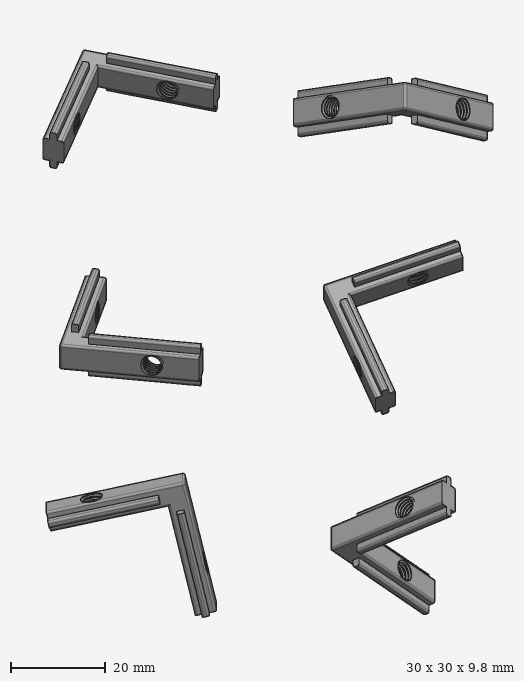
import cadquery as cq

ARM_LENGTH = 30.0
ARM_WIDTH = 4.6
ARM_HEIGHT = 6.0
TOTAL_HEIGHT = 9.8
RIB_WIDTH = 1.6
RIB_START = 6.0
EDGE_RADIUS = 0.5

HOLE_DISTANCE = 20.0
HOLE_DIAMETER = 4.2
THREAD_DEPTH = 0.42
THREAD_PITCH = 0.8
THREAD_PHASE = 180.0
GROOVE_MOUTH = THREAD_PITCH * 3 / 4
GROOVE_ROOT = THREAD_PITCH / 4
OVERRUN_TURNS = 2
CUT_OVERLAP = 0.05

ORIGIN = (0, 0, 0)
X_DIRECTION = (1, 0, 0)
Z_DIRECTION = (0, 0, 1)
QUARTER_TURN = -90.0


def make_body():
    """L-shaped bar with rounded long edges and a rounded outer corner; the inner corner stays sharp."""
    outline = [
        (0, 0),
        (ARM_LENGTH, 0),
        (ARM_LENGTH, -ARM_WIDTH),
        (ARM_WIDTH, -ARM_WIDTH),
        (ARM_WIDTH, -ARM_LENGTH),
        (0, -ARM_LENGTH),
    ]
    body = cq.Workplane("XY").polyline(outline).close().extrude(ARM_HEIGHT / 2, both=True)
    outer_corner = cq.selectors.NearestToPointSelector(ORIGIN)
    body = body.edges(outer_corner).fillet(EDGE_RADIUS)
    return body.edges("#Z exc (>X or <Y)").fillet(EDGE_RADIUS)


def make_rib():
    """Rib of the X arm: a bar through the arm that stands out above and below it."""
    rib_length = ARM_LENGTH - RIB_START
    rib = cq.Workplane("XY").box(rib_length, RIB_WIDTH, TOTAL_HEIGHT).edges("|X").fillet(EDGE_RADIUS)
    return rib.translate((RIB_START + rib_length / 2, -ARM_WIDTH / 2, 0))


def place_in_x_arm(cutter):
    """Lay a cutter made along +Z across the X arm, with its origin on the arm's inner face."""
    laid_down = cutter.rotate(ORIGIN, X_DIRECTION, -90)
    return laid_down.translate((HOLE_DISTANCE, -ARM_WIDTH, 0))


def make_hole_cutters():
    """Right-handed thread groove and plain hole of the X arm, in the order they are cut."""
    hole_radius = HOLE_DIAMETER / 2
    inner_radius = hole_radius - CUT_OVERLAP
    root_radius = hole_radius + THREAD_DEPTH
    flank_slope = (GROOVE_MOUTH - GROOVE_ROOT) / 2 / THREAD_DEPTH
    half_root = GROOVE_ROOT / 2
    half_base = GROOVE_MOUTH / 2 + flank_slope * CUT_OVERLAP
    groove_section = [
        (inner_radius, -half_base),
        (root_radius, -half_root),
        (root_radius, half_root),
        (inner_radius, half_base),
    ]
    overrun = OVERRUN_TURNS * THREAD_PITCH
    cut_length = ARM_WIDTH + 2 * overrun

    helix = cq.Workplane(cq.Wire.makeHelix(THREAD_PITCH, cut_length, hole_radius))
    groove = cq.Workplane("XZ").polyline(groove_section).close().sweep(helix, isFrenet=True)
    groove = groove.rotate(ORIGIN, Z_DIRECTION, THREAD_PHASE)
    hole = cq.Workplane("XY").circle(hole_radius).extrude(cut_length)
    return [place_in_x_arm(cutter.translate((0, 0, -overrun))) for cutter in (groove, hole)]


def turn_to_y_arm(x_arm_feature):
    """Turn a feature of the X arm into the matching feature of the Y arm."""
    turned = x_arm_feature.rotate(ORIGIN, Z_DIRECTION, QUARTER_TURN)
    return turned.translate((ARM_WIDTH, 0, 0))


rib = make_rib()
result = make_body().union(rib).union(turn_to_y_arm(rib))

for cutter in make_hole_cutters():
    result = result.cut(cutter).cut(turn_to_y_arm(cutter))
result = result.solids()